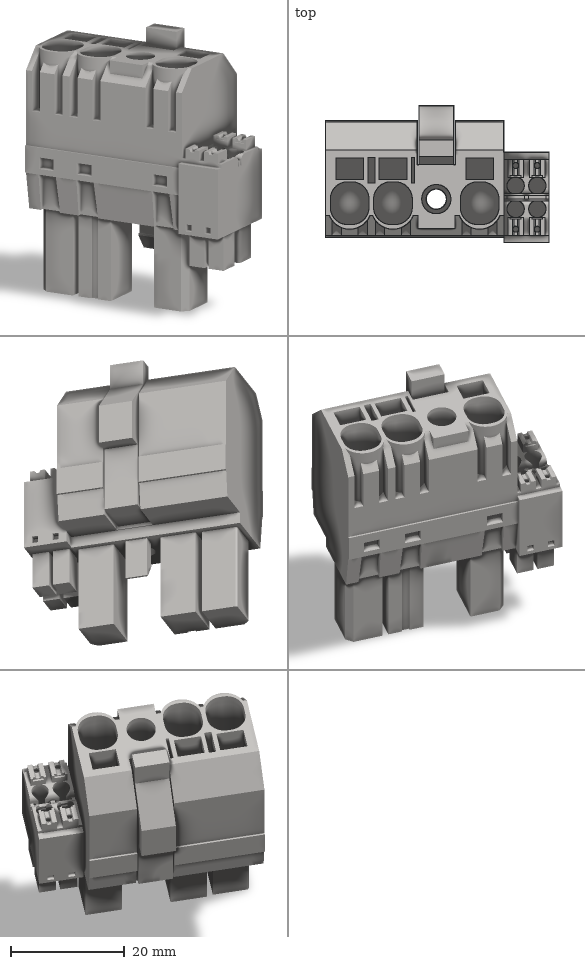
import cadquery as cq


TOTAL_LENGTH = 39.4
TOTAL_HEIGHT = 47.7
POWER_LENGTH = 31.45
POWER_DEPTH = 19.95
POWER_TOP = 44.7
POWER_BOTTOM = 15.5
OVERCUT = 0.5

POLE_PITCH = 7.65
FIRST_POLE_X = (POWER_LENGTH - 3 * POLE_PITCH) / 2
POLE_XS = [FIRST_POLE_X + i * POLE_PITCH for i in (0, 1, 3)]
LOCK_X = FIRST_POLE_X + 2 * POLE_PITCH

FRONT_CHAMFER_DEPTH = 3.55
FRONT_CHAMFER_HEIGHT = 3.65
BACK_CHAMFER = 4.9
BAND_TOP = 27.35
BAND_BOTTOM = 22.35
BAND_PROUD = 0.35
FRONT_TAPER = 1.2
BACK_TAPER_TOP = 0.15
BACK_TAPER = 0.8
STEP_Y = 12.25
STEP_BOTTOM = 17.55

WIRE_WIDTH = 6.8
WIRE_LENGTH = 7.55
WIRE_CORNER = 3.05
WIRE_Y = 5.7
WIRE_DEPTH = 14.3
SHROUD_RADIUS = 3.85
SHROUD_Y = 4.95
RELIEF_INNER = 1.5
RELIEF_OUTER = 3.1
RELIEF_BOTTOM = 33.7

TOOL_WIDTH = 4.85
TOOL_FRONT = 9.87
TOOL_BACK = 13.6
TOOL_DEPTH = 11.92
CODING_FRONT = 9.25
CODING_BACK = 13.75
CODING_DEPTH = 9.55
CODING_SLOTS = [(7.5, 1.3), (15.1, 0.55)]
SCREW_Y = 6.4
SCREW_DIAMETER = 3.55
SCREW_HEAD_DIAMETER = 5.15
SCREW_HEAD_DEPTH = 14.3

BOSS_WIDTH = 6.55
BOSS_FRONT = 1.2
WINDOW_WIDTH = 2.95
WINDOW_BOTTOM = 23.4
WINDOW_TOP = 25.5
WINDOW_DEPTH = 1.45
RECESS_TOP_WIDTH = 3.5
RECESS_BOTTOM_WIDTH = 3.9
RECESS_DEPTH = 2.0

PLUG_WIDTH = 6.55
PLUG_FRONT = 3.5
PLUG_BACKS = [10.9, 11.15, 11.15]
PLUG_CHAMFER = 1.15
PLUG_BACK_CHAMFER = 0.3
PLUG_GROOVE_WIDTH = 1.4
PLUG_GROOVE_DEPTH = 0.35

HOOK_WIDTH = 4.0
HOOK_FRONT = 9.55
HOOK_BACK = 11.65
HOOK_LIP = 0.35
HOOK_TIP_THICKNESS = 0.5
HOOK_BOTTOM = 8.3
HOOK_LIP_BOTTOM = 11.0
HOOK_LIP_TOP = 11.35

LATCH_WIDTH = 6.15
LATCH_SLOT_WIDTH = 6.7
LATCH_FRONT = 12.45
LATCH_LEDGE = 39.6
LATCH_TAB_FRONT = 13.9
LATCH_TAB_BACK = 16.85
LATCH_SLOPE_TOP = 43.05
LATCH_BACK = 22.85
LATCH_OVERHANG_BOTTOM = 29.85
LATCH_BOTTOM = 18.15

SIGNAL_LENGTH = TOTAL_LENGTH - POWER_LENGTH
SIGNAL_FRONT = -1.3
SIGNAL_BACK = 14.7
SIGNAL_MID_Y = (SIGNAL_FRONT + SIGNAL_BACK) / 2
SIGNAL_BOTTOM = 15.65
SIGNAL_WALL_TOP = 28.45
SIGNAL_DECK_TOP = 29.05
SIGNAL_WALL = 1.3
SIGNAL_PITCH = 3.8
SIGNAL_MID_X = POWER_LENGTH + SIGNAL_LENGTH / 2
SIGNAL_XS = [SIGNAL_MID_X - SIGNAL_PITCH / 2, SIGNAL_MID_X + SIGNAL_PITCH / 2]

RIB_THICKNESS = 0.6
RIB_GROOVE = 0.35
RIB_GROOVE_DEPTH = 1.9
RIB_NOTCH_WIDTH = 3.05
RIB_NOTCH_DEPTH = 0.5
RIB_TOP = 28.1
DECK_ROUND = 0.8
ROW_LIMIT = RIB_THICKNESS / 2 + RIB_GROOVE

SIGNAL_WIRE_RADIUS = 1.55
SIGNAL_WIRE_OFFSET = 2.05
SIGNAL_WIRE_DEPTH = 5.72
SIGNAL_WINDOW_WIDTH = 1.2
SIGNAL_WINDOW_BOTTOM = 16.3
SIGNAL_WINDOW_TOP = 17.55
SIGNAL_WINDOW_DEPTH = 1.2
SIGNAL_PLUG_WIDTH = 3.05
SIGNAL_PLUG_FRONT = 1.75
SIGNAL_PLUG_DEPTH = 4.05
SIGNAL_PLUG_BOTTOM = 9.1

BUTTON_WIDTH = 2.75
BUTTON_DEPTH = 3.2
BUTTON_BOTTOM = 28.55
BUTTON_TOP = 30.95
DRIVER_SLOT_TOP_WIDTH = 1.1
DRIVER_SLOT_FLOOR_WIDTH = 0.6
DRIVER_SLOT_DEPTH = 0.5
TEST_HOLE_DIAMETER = 1.05
TEST_HOLE_OFFSET = 1.1
TEST_HOLE_DEPTH = 1.45
BUTTON_NOTCH_WIDTH = 1.9
BUTTON_NOTCH_LENGTH = 0.35
BUTTON_NOTCH_DEPTH = 0.7


def block(x_span, y_span, z_span):
    """Box between two X, two Y and two Z positions."""
    size = [span[1] - span[0] for span in (x_span, y_span, z_span)]
    return cq.Workplane("XY").box(*size, centered=False).translate((x_span[0], y_span[0], z_span[0]))


def centred(middle, width):
    """Start and end of a width around its middle."""
    return (middle - width / 2, middle + width / 2)


def side_profile(points, x_span):
    """Closed outline of (Y, Z) points, extruded along X."""
    return (
        cq.Workplane("YZ", origin=(x_span[0], 0, 0))
        .polyline(points)
        .close()
        .extrude(x_span[1] - x_span[0])
    )


def mirror_rows(shape):
    """The same shape in the opposite signal row."""
    return shape.mirror("XZ", (0, SIGNAL_MID_Y, 0))


def power_shell():
    outline = [
        (FRONT_TAPER, POWER_BOTTOM),
        (0, BAND_BOTTOM),
        (-BAND_PROUD, BAND_BOTTOM),
        (-BAND_PROUD, BAND_TOP),
        (0, BAND_TOP),
        (0, POWER_TOP - FRONT_CHAMFER_HEIGHT),
        (FRONT_CHAMFER_DEPTH, POWER_TOP),
        (POWER_DEPTH - BACK_CHAMFER, POWER_TOP),
        (POWER_DEPTH, POWER_TOP - BACK_CHAMFER),
        (POWER_DEPTH, BAND_TOP),
        (POWER_DEPTH + BAND_PROUD, BAND_TOP),
        (POWER_DEPTH + BAND_PROUD, BAND_BOTTOM),
        (POWER_DEPTH - BACK_TAPER_TOP, BAND_BOTTOM),
        (POWER_DEPTH - BACK_TAPER, STEP_BOTTOM),
        (STEP_Y, STEP_BOTTOM),
        (STEP_Y, POWER_BOTTOM),
    ]
    return side_profile(outline, (0, POWER_LENGTH))


def wire_shroud(x):
    """Round shroud around the front of a wire entry."""
    height = POWER_TOP - RELIEF_BOTTOM
    return cq.Workplane("XY", origin=(x, SHROUD_Y, RELIEF_BOTTOM)).circle(SHROUD_RADIUS).extrude(height)


def shroud_reliefs(x):
    """Upright slots at both sides of the rib in front of a shroud."""
    y_span = (-OVERCUT, FRONT_CHAMFER_DEPTH)
    z_span = (RELIEF_BOTTOM, POWER_TOP)
    left = block((x - RELIEF_OUTER, x - RELIEF_INNER), y_span, z_span)
    right = block((x + RELIEF_INNER, x + RELIEF_OUTER), y_span, z_span)
    return left.union(right)


def wire_entry(x):
    return (
        cq.Workplane("XY", origin=(x, WIRE_Y, POWER_TOP - WIRE_DEPTH))
        .rect(WIRE_WIDTH, WIRE_LENGTH)
        .extrude(WIRE_DEPTH)
        .edges("|Z")
        .fillet(WIRE_CORNER)
    )


def tool_opening(x):
    return block(centred(x, TOOL_WIDTH), (TOOL_FRONT, TOOL_BACK), (POWER_TOP - TOOL_DEPTH, POWER_TOP))


def contact_window(x):
    y_span = (-BAND_PROUD, WINDOW_DEPTH - BAND_PROUD)
    return block(centred(x, WINDOW_WIDTH), y_span, (WINDOW_BOTTOM, WINDOW_TOP))


def front_recess(x):
    """Upright recess in the tapered front, slightly wider at the bottom."""
    return (
        cq.Workplane("XZ", origin=(x, RECESS_DEPTH, 0))
        .polyline([
            (-RECESS_BOTTOM_WIDTH / 2, POWER_BOTTOM),
            (RECESS_BOTTOM_WIDTH / 2, POWER_BOTTOM),
            (RECESS_TOP_WIDTH / 2, BAND_BOTTOM),
            (-RECESS_TOP_WIDTH / 2, BAND_BOTTOM),
        ])
        .close()
        .extrude(RECESS_DEPTH)
    )


def coding_slot(left, width):
    z_span = (POWER_TOP - CODING_DEPTH, POWER_TOP)
    return block((left, left + width), (CODING_FRONT, CODING_BACK), z_span)


def screw_boss():
    """Block that squares off the front chamfer in front of the screw hole."""
    z_span = (POWER_TOP - FRONT_CHAMFER_HEIGHT, POWER_TOP)
    return block(centred(LOCK_X, BOSS_WIDTH), (BOSS_FRONT, FRONT_CHAMFER_DEPTH), z_span)


def screw_hole():
    through = (
        cq.Workplane("XY", origin=(LOCK_X, SCREW_Y, POWER_BOTTOM))
        .circle(SCREW_DIAMETER / 2)
        .extrude(POWER_TOP - POWER_BOTTOM)
    )
    head = (
        cq.Workplane("XY", origin=(LOCK_X, SCREW_Y, POWER_TOP - SCREW_HEAD_DEPTH))
        .circle(SCREW_HEAD_DIAMETER / 2)
        .extrude(SCREW_HEAD_DEPTH)
    )
    return through.union(head)


def latch_slot():
    y_span = (LATCH_FRONT, POWER_DEPTH + BAND_PROUD + OVERCUT)
    z_span = (POWER_BOTTOM, POWER_TOP + OVERCUT)
    return block(centred(LOCK_X, LATCH_SLOT_WIDTH), y_span, z_span)


def power_plug(x, back):
    return block(centred(x, PLUG_WIDTH), (PLUG_FRONT, back), (0, POWER_BOTTOM))


def power_plugs():
    """Three plugs: the outer ones chamfered at their outer edges, the middle one grooved in front."""
    left, middle, right = [power_plug(x, back) for x, back in zip(POLE_XS, PLUG_BACKS)]
    left = left.edges("|Z and <X and <Y").chamfer(PLUG_CHAMFER)
    left = left.edges("|Z and <X and >Y").chamfer(PLUG_BACK_CHAMFER)
    right = right.edges("|Z and >X and <Y").chamfer(PLUG_CHAMFER)
    groove_y = (PLUG_FRONT, PLUG_FRONT + PLUG_GROOVE_DEPTH)
    groove = block(centred(POLE_XS[1], PLUG_GROOVE_WIDTH), groove_y, (0, POWER_BOTTOM))
    return [left, middle.cut(groove), right]


def locking_hook():
    outline = [
        (HOOK_FRONT, POWER_BOTTOM),
        (HOOK_FRONT, HOOK_LIP_TOP),
        (HOOK_FRONT - HOOK_LIP, HOOK_LIP_TOP),
        (HOOK_FRONT - HOOK_LIP, HOOK_LIP_BOTTOM),
        (HOOK_BACK - HOOK_TIP_THICKNESS, HOOK_BOTTOM),
        (HOOK_BACK, HOOK_BOTTOM),
        (HOOK_BACK, POWER_BOTTOM),
    ]
    return side_profile(outline, centred(LOCK_X, HOOK_WIDTH))


def power_section():
    body = power_shell().union(screw_boss())
    for x in POLE_XS:
        body = body.cut(shroud_reliefs(x)).union(wire_shroud(x))
    for x in POLE_XS:
        for opening in (wire_entry(x), tool_opening(x), contact_window(x), front_recess(x)):
            body = body.cut(opening)
    for left, width in CODING_SLOTS:
        body = body.cut(coding_slot(left, width))
    body = body.cut(screw_hole()).cut(latch_slot())
    for plug in power_plugs():
        body = body.union(plug)
    return body.union(locking_hook())


def signal_deck():
    """Raised deck of the front signal row, rounded towards the middle of the section."""
    y_span = (SIGNAL_FRONT + SIGNAL_WALL, SIGNAL_MID_Y - ROW_LIMIT)
    deck = block((POWER_LENGTH, TOTAL_LENGTH), y_span, (SIGNAL_BOTTOM, SIGNAL_DECK_TOP))
    return deck.edges(">Y and >Z").fillet(DECK_ROUND)


def signal_wire_entry(x):
    y = SIGNAL_MID_Y - SIGNAL_WIRE_OFFSET
    z_span = (SIGNAL_DECK_TOP - SIGNAL_WIRE_DEPTH, SIGNAL_DECK_TOP)
    bore = (
        cq.Workplane("XY", origin=(x, y, z_span[0]))
        .circle(SIGNAL_WIRE_RADIUS)
        .extrude(SIGNAL_WIRE_DEPTH)
    )
    row = block((POWER_LENGTH, TOTAL_LENGTH), (SIGNAL_FRONT, SIGNAL_MID_Y - ROW_LIMIT), z_span)
    return bore.intersect(row)


def button_seat(x):
    front = SIGNAL_FRONT + SIGNAL_WALL
    y_span = (front, front + BUTTON_DEPTH)
    return block(centred(x, BUTTON_WIDTH), y_span, (BUTTON_BOTTOM, SIGNAL_DECK_TOP))


def signal_window(x):
    y_span = (SIGNAL_FRONT, SIGNAL_FRONT + SIGNAL_WINDOW_DEPTH)
    return block(centred(x, SIGNAL_WINDOW_WIDTH), y_span, (SIGNAL_WINDOW_BOTTOM, SIGNAL_WINDOW_TOP))


def signal_plug(x):
    y_span = (SIGNAL_PLUG_FRONT, SIGNAL_PLUG_FRONT + SIGNAL_PLUG_DEPTH)
    return block(centred(x, SIGNAL_PLUG_WIDTH), y_span, (SIGNAL_PLUG_BOTTOM, SIGNAL_BOTTOM))


def centre_rib():
    """Rib between the two rows, notched at each pole."""
    groove_floor = SIGNAL_DECK_TOP - RIB_GROOVE_DEPTH
    y_span = centred(SIGNAL_MID_Y, RIB_THICKNESS)
    rib = block((POWER_LENGTH, TOTAL_LENGTH), y_span, (groove_floor, RIB_TOP))
    for x in SIGNAL_XS:
        z_span = (RIB_TOP - RIB_NOTCH_DEPTH, RIB_TOP)
        rib = rib.cut(block(centred(x, RIB_NOTCH_WIDTH), y_span, z_span))
    return rib


def signal_section():
    x_span = (POWER_LENGTH, TOTAL_LENGTH)
    body = block(x_span, (SIGNAL_FRONT, SIGNAL_BACK), (SIGNAL_BOTTOM, SIGNAL_WALL_TOP))
    trough_z = (SIGNAL_DECK_TOP - RIB_GROOVE_DEPTH, SIGNAL_DECK_TOP)
    trough_width = 2 * (ROW_LIMIT + DECK_ROUND)
    body = body.cut(block(x_span, centred(SIGNAL_MID_Y, trough_width), trough_z))
    body = body.union(signal_deck()).union(mirror_rows(signal_deck())).union(centre_rib())
    for x in SIGNAL_XS:
        for opening in (signal_wire_entry(x), button_seat(x), signal_window(x)):
            body = body.cut(opening).cut(mirror_rows(opening))
        body = body.union(signal_plug(x)).union(mirror_rows(signal_plug(x)))
    return body


def make_housing():
    return power_section().union(signal_section())


def make_latch():
    """Latch standing in the rear slot, with a press tab on top and an overhanging back."""
    outline = [
        (LATCH_FRONT, LATCH_BOTTOM),
        (LATCH_FRONT, LATCH_LEDGE),
        (LATCH_TAB_FRONT, LATCH_LEDGE),
        (LATCH_TAB_FRONT, TOTAL_HEIGHT),
        (LATCH_TAB_BACK, TOTAL_HEIGHT),
        (LATCH_TAB_BACK, LATCH_SLOPE_TOP),
        (LATCH_BACK, LATCH_SLOPE_TOP - (LATCH_BACK - LATCH_TAB_BACK)),
        (LATCH_BACK, LATCH_OVERHANG_BOTTOM),
        (POWER_DEPTH, LATCH_OVERHANG_BOTTOM),
        (POWER_DEPTH, LATCH_BOTTOM),
    ]
    return side_profile(outline, centred(LOCK_X, LATCH_WIDTH))


def make_button(x):
    """Button of the front row, with a driver slot, a test hole and a notch beside the wire entry."""
    front = SIGNAL_FRONT + SIGNAL_WALL
    back = front + BUTTON_DEPTH
    body = block(centred(x, BUTTON_WIDTH), (front, back), (BUTTON_BOTTOM, BUTTON_TOP))
    driver_slot = (
        cq.Workplane("XZ", origin=(x, back, 0))
        .polyline([
            (-DRIVER_SLOT_TOP_WIDTH / 2, BUTTON_TOP),
            (-DRIVER_SLOT_FLOOR_WIDTH / 2, BUTTON_TOP - DRIVER_SLOT_DEPTH),
            (DRIVER_SLOT_FLOOR_WIDTH / 2, BUTTON_TOP - DRIVER_SLOT_DEPTH),
            (DRIVER_SLOT_TOP_WIDTH / 2, BUTTON_TOP),
        ])
        .close()
        .extrude(BUTTON_DEPTH)
    )
    test_hole = (
        cq.Workplane("XY", origin=(x, front + TEST_HOLE_OFFSET, BUTTON_TOP - TEST_HOLE_DEPTH))
        .circle(TEST_HOLE_DIAMETER / 2)
        .extrude(TEST_HOLE_DEPTH)
    )
    notch = block(
        centred(x, BUTTON_NOTCH_WIDTH),
        (back - BUTTON_NOTCH_LENGTH, back),
        (BUTTON_TOP - BUTTON_NOTCH_DEPTH, BUTTON_TOP),
    )
    return body.cut(driver_slot).cut(test_hole).cut(notch)


housing = make_housing()
latch = make_latch()
buttons = []
for pole_x in SIGNAL_XS:
    buttons.append(make_button(pole_x))
    buttons.append(mirror_rows(make_button(pole_x)))

result = cq.Compound.makeCompound([housing.val(), latch.val(), *[button.val() for button in buttons]])